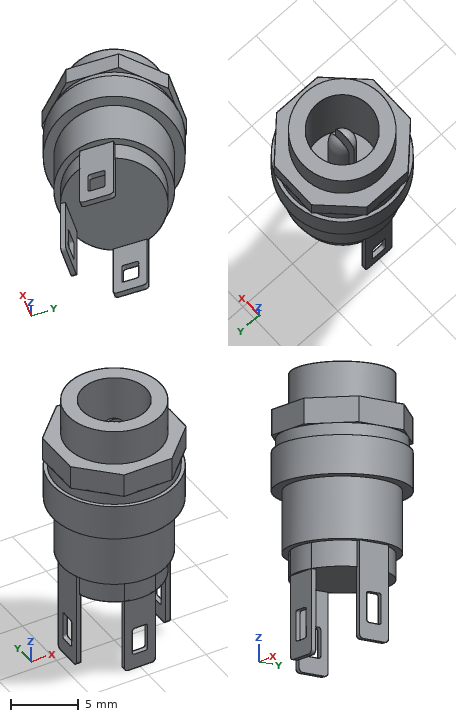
import cadquery as cq

top_z = 22.3
nut_top_z = 19.3
nut_bottom_z = 17.3
collar_top_z = 16.3
collar_bottom_z = 13.31
body_bottom_z = 8.52
plug_bottom_z = 6.51

barrel_diameter = 8.0
thread_diameter = 10.0
collar_diameter = 10.6
body_diameter = 9.0
plug_diameter = barrel_diameter
nut_flats = thread_diameter

bore_diameter = 5.5
bore_floor_z = collar_bottom_z
contact_radius = 1.05
contact_tip_z = 20.34
contact_slot_width = 0.47

tab_width = 2.68
tab_thickness = 0.4
tab_corner = 0.33
short_tab_z = 0.98
front_tab_face = 3.8
side_tab_face = 4.05
eyelet_width = 1.32
eyelet_height = 2.39
eyelet_corner = 0.2
eyelet_lift = 1.32


def cylinder(diameter, bottom_z, height_z):
    """Cylinder on the Z axis between two heights."""
    return cq.Workplane("XY").workplane(offset=bottom_z).circle(diameter / 2).extrude(height_z - bottom_z)


def make_nut():
    """Octagonal nut with flats facing X and Y."""
    return (
        cq.Workplane("XY")
        .workplane(offset=nut_bottom_z)
        .polygon(8, nut_flats, circumscribed=True)
        .extrude(nut_top_z - nut_bottom_z)
    )


def make_housing():
    """Stepped round housing with the nut and an open bore."""
    return (
        cylinder(barrel_diameter, nut_top_z, top_z)
        .union(make_nut())
        .union(cylinder(thread_diameter, collar_top_z, nut_bottom_z))
        .union(cylinder(collar_diameter, collar_bottom_z, collar_top_z))
        .union(cylinder(body_diameter, body_bottom_z, collar_bottom_z))
        .union(cylinder(plug_diameter, plug_bottom_z, body_bottom_z))
        .cut(cylinder(bore_diameter, bore_floor_z, top_z))
    )


def make_contact():
    """Center pin with a hemispherical head, split along X down to the bore floor."""
    head_z = contact_tip_z - contact_radius
    head = cq.Workplane("XY").sphere(contact_radius).translate((0, 0, head_z))
    pin = cylinder(2 * contact_radius, bore_floor_z, head_z).union(head)
    slot = cq.Workplane("XY").workplane(offset=bore_floor_z).rect(
        2 * contact_radius, contact_slot_width
    ).extrude(contact_tip_z - bore_floor_z)
    return pin.cut(slot)


def make_tab(outer_face, end_z, angle):
    """Tab facing -Y at angle zero, turned about Z; its root is buried in the plug."""
    height = body_bottom_z - end_z
    tab = (
        cq.Workplane("XY")
        .box(tab_width, tab_thickness, height, centered=(True, False, False))
        .edges("|Y and <Z")
        .fillet(tab_corner)
    )
    eyelet = (
        cq.Workplane("XY")
        .box(eyelet_width, tab_thickness, eyelet_height, centered=(True, False, False))
        .edges("|Y")
        .fillet(eyelet_corner)
        .translate((0, 0, eyelet_lift))
    )
    return tab.cut(eyelet).translate((0, -outer_face, end_z)).rotate((0, 0, 0), (0, 0, 1), angle)


result = (
    make_housing()
    .union(make_contact())
    .union(make_tab(front_tab_face, 0, 0))
    .union(make_tab(side_tab_face, 0, -90))
    .union(make_tab(side_tab_face, short_tab_z, 90))
)